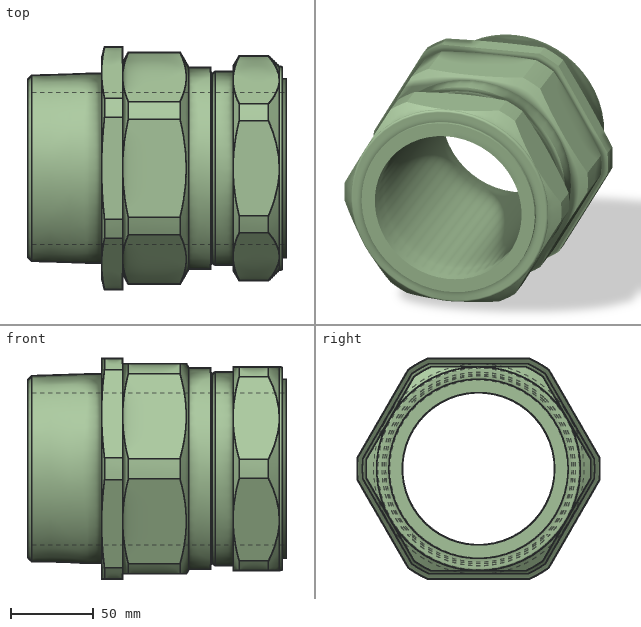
import cadquery as cq
import math

SPIGOT_CHAMFER_END = 2.5
TAPER_END = 36.6
COLLAR_START = 44.5
COLLAR_CHAMFER_END = 46.3
BODY_HEX_START = 57.2
BODY_HEX_CHAMFER_END = 60.6
BODY_HEX_CONE_START = 91.8
SHOULDER_START = 97.0
GROOVE_START = 110.2
GROOVE_BOTTOM = 111.2
NECK_START = 113.0
NUT_START = 123.7
NUT_CHAMFER_END = 127.5
NUT_CONE_START = 145.0
NUT_RIM_START = 151.6
NUT_END = 153.5
TOTAL_LENGTH = 155.8

BORE_RADIUS = 45.8
SPIGOT_FACE_RADIUS = 53.6
SPIGOT_TIP_RADIUS = 56.1
SPIGOT_ROOT_RADIUS = 57.2
SHOULDER_RADIUS = 60.8
GROOVE_RADIUS = 57.0
GROOVE_STEP_RADIUS = 58.3
NECK_RADIUS = 58.5
OUTLET_RADIUS = 54.0
NUT_RIM_ROUNDING = 1.2

COLLAR_FLATS = 133.0
COLLAR_CORNER_RADIUS = 73.2
BODY_HEX_FLATS = 126.8
BODY_HEX_CORNER_RADIUS = 70.0
NUT_FLATS = 122.8
NUT_CORNER_RADIUS = 67.8


def turned(profile):
    """Revolve a list of (x, radius) points, closed along the X axis."""
    points = [(profile[0][0], 0)] + profile + [(profile[-1][0], 0)]
    return cq.Workplane("XZ").polyline(points).close().revolve(360, (0, 0, 0), (1, 0, 0))


def turned_hex(flats, profile):
    """Hexagonal bar with flats facing +Z and -Z, trimmed by a turned profile."""
    start = profile[0][0]
    length = profile[-1][0] - start
    across_corners = flats / math.cos(math.pi / 6)
    bar = cq.Workplane("YZ", origin=(start, 0, 0)).polygon(6, across_corners).extrude(length)
    return bar.intersect(turned(profile))


core = turned([
    (0, SPIGOT_FACE_RADIUS),
    (SPIGOT_CHAMFER_END, SPIGOT_TIP_RADIUS),
    (TAPER_END, SPIGOT_ROOT_RADIUS),
    (SHOULDER_START, SPIGOT_ROOT_RADIUS),
    (SHOULDER_START, SHOULDER_RADIUS),
    (GROOVE_START, SHOULDER_RADIUS),
    (GROOVE_START, GROOVE_STEP_RADIUS),
    (GROOVE_BOTTOM, GROOVE_RADIUS),
    (NECK_START, NECK_RADIUS),
    (NUT_START, NECK_RADIUS),
    (NUT_START, OUTLET_RADIUS),
    (TOTAL_LENGTH, OUTLET_RADIUS),
])

collar = turned_hex(COLLAR_FLATS, [
    (COLLAR_START, COLLAR_FLATS / 2),
    (COLLAR_CHAMFER_END, COLLAR_CORNER_RADIUS),
    (BODY_HEX_START, COLLAR_CORNER_RADIUS),
])

body_hex = turned_hex(BODY_HEX_FLATS, [
    (BODY_HEX_START, BODY_HEX_FLATS / 2),
    (BODY_HEX_CHAMFER_END, BODY_HEX_CORNER_RADIUS),
    (BODY_HEX_CONE_START, BODY_HEX_CORNER_RADIUS),
    (SHOULDER_START, SHOULDER_RADIUS),
])

nut_rim_radius = NUT_FLATS / 2
nut = turned_hex(NUT_FLATS, [
    (NUT_START, nut_rim_radius),
    (NUT_CHAMFER_END, NUT_CORNER_RADIUS),
    (NUT_CONE_START, NUT_CORNER_RADIUS),
    (NUT_RIM_START, nut_rim_radius),
    (NUT_END, nut_rim_radius),
])
nut = nut.faces(">X").edges().fillet(NUT_RIM_ROUNDING)

bore = cq.Workplane("YZ").circle(BORE_RADIUS).extrude(TOTAL_LENGTH)

result = core.union(collar).union(body_hex).union(nut).cut(bore)